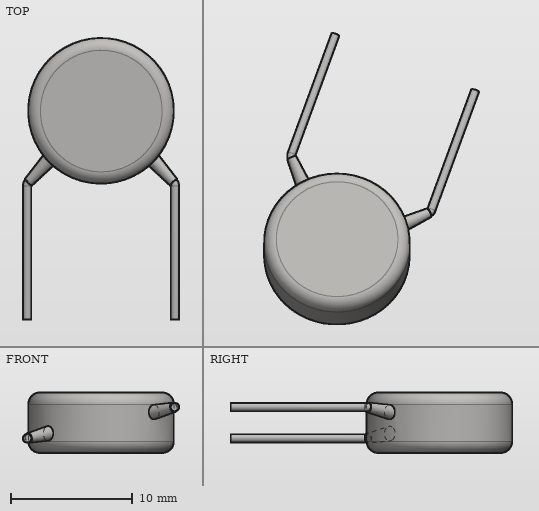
import cadquery as cq
import math

lead_count = 2
overall_width = 12.88
overall_length = 23.2
housing_height = 5.0
housing_diameter = 12.02
rim_radius = 1.0
wire_diameter = 0.7
wire_spacing_z = 2.58
bend_radius = 0.42
bend_angle = 42.5
collar_climb = 9.0
collar_tip_diameter = 0.81
collar_half_angle = 4.6
bend_y = -6.17

housing_radius = housing_diameter / 2
wire_radius = wire_diameter / 2
wire_x = overall_width / 2 - wire_radius
wire_z = wire_spacing_z / 2
wire_tip_y = housing_radius - overall_length
collar_length = housing_radius
collar_root_radius = collar_tip_diameter / 2 + collar_length * math.tan(math.radians(collar_half_angle))

climb = math.radians(collar_climb)
turn = math.radians(bend_angle)
wire_direction = cq.Vector(0, 1, 0)
collar_direction = cq.Vector(
    math.sin(turn) * math.cos(climb),
    math.cos(turn) * math.cos(climb),
    math.sin(climb),
)
bend_start = cq.Vector(-wire_x, bend_y, -wire_z)
bend_axis = wire_direction.cross(collar_direction).normalized()
bend_center = bend_start + bend_axis.cross(wire_direction) * bend_radius
swept_angle = math.degrees(wire_direction.getAngle(collar_direction))
bend_end = bend_center - bend_axis.cross(collar_direction) * bend_radius


def make_collar():
    """Tapered collar, from the end of the bend into the housing."""
    return cq.Workplane(
        cq.Solid.makeCone(
            collar_tip_diameter / 2, collar_root_radius, collar_length, bend_end, collar_direction
        )
    )


def make_lead():
    """Straight round wire with a tight bend that stops at the collar tip."""
    tip = cq.Vector(-wire_x, wire_tip_y, -wire_z)
    wire = cq.Workplane(
        cq.Solid.makeCylinder(wire_radius, bend_y - wire_tip_y, tip, wire_direction)
    )
    section = cq.Plane(origin=bend_start, xDir=bend_axis, normal=wire_direction)
    center = section.toLocalCoords(bend_center)
    bend = (
        cq.Workplane(section)
        .circle(wire_radius)
        .revolve(swept_angle, (center.x, center.y), (center.x + 1, center.y))
    )
    return wire.union(bend)


def half_turn(body, index):
    """Turn a body about the Y axis, once for each index."""
    return body.rotate((0, 0, 0), (0, 1, 0), 360 / lead_count * index)


def make_housing():
    """Round-edged disc with one collar for each lead."""
    body = (
        cq.Workplane("XY")
        .cylinder(housing_height, housing_radius)
        .edges("%CIRCLE")
        .fillet(rim_radius)
    )
    for index in range(lead_count):
        body = body.union(half_turn(make_collar(), index))
    return body


housing = make_housing()
leads = [half_turn(make_lead(), index) for index in range(lead_count)]

result = cq.Compound.makeCompound([housing.val(), *[lead.val() for lead in leads]])